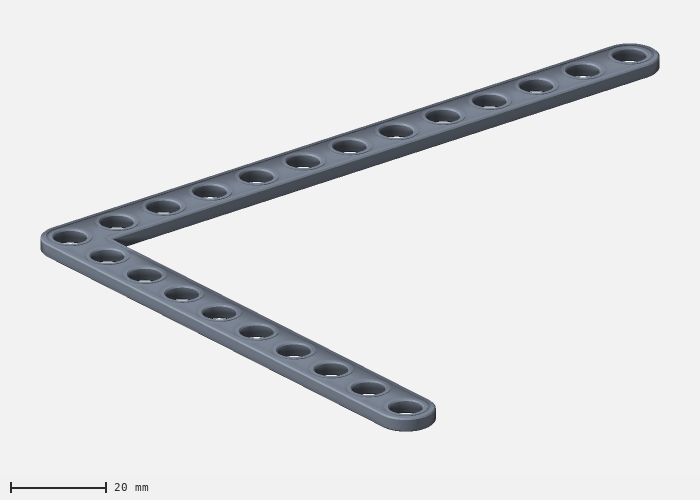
import cadquery as cq

long_arm_length = 162.5
long_arm_holes = 13
short_arm_holes = 10
thickness = 3.1
hole_diameter = 7.0
collar_wall = 1.1
rim_width = 1.12
recess_depth = 0.2
edge_chamfer = 0.3

pitch = long_arm_length / long_arm_holes
arm_width = pitch
collar_diameter = hole_diameter + 2 * collar_wall

short_row = [(i * pitch, 0) for i in range(short_arm_holes)]
long_row = [(0, i * pitch) for i in range(1, long_arm_holes)]
hole_centres = short_row + long_row


def angle_bar(width, height):
    """L of two round-ended arms, each centred on its row of holes."""
    short_span = (short_arm_holes - 1) * pitch
    long_span = (long_arm_holes - 1) * pitch
    short_arm = (
        cq.Workplane("XY")
        .center(short_span / 2, 0)
        .slot2D(short_span + width, width)
        .extrude(height)
    )
    long_arm = (
        cq.Workplane("XY")
        .center(0, long_span / 2)
        .slot2D(long_span + width, width, 90)
        .extrude(height)
    )
    return short_arm.union(long_arm)


def cylinders(diameter, height):
    """One cylinder at every hole centre."""
    return (
        cq.Workplane("XY")
        .pushPoints(hole_centres)
        .circle(diameter / 2)
        .extrude(height)
    )


plate = angle_bar(arm_width, thickness).cut(cylinders(hole_diameter, thickness))
plate = plate.faces("<Z or >Z").chamfer(edge_chamfer)

recess = angle_bar(arm_width - 2 * rim_width, recess_depth)
recess = recess.cut(cylinders(collar_diameter, recess_depth))
recess = recess.translate((0, 0, thickness - recess_depth))

result = plate.cut(recess)